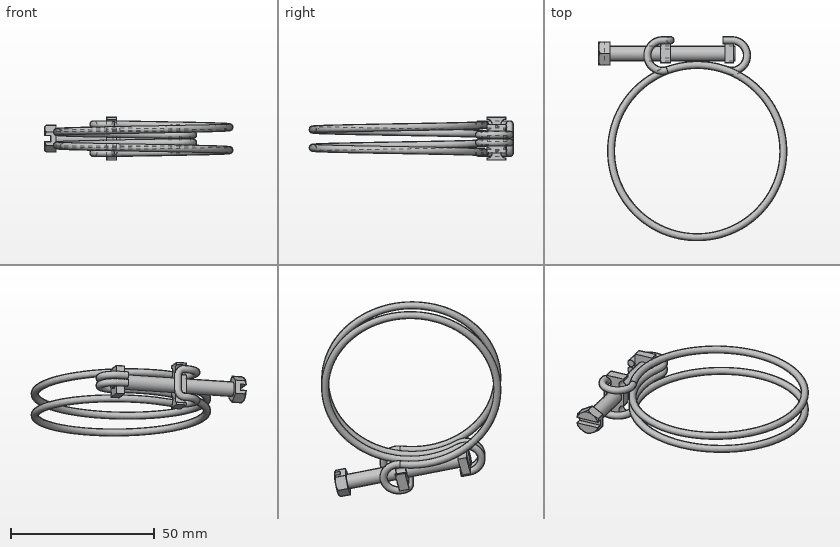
import cadquery as cq
import math


wire_radius = 1.24
ring_radius = 30.0
outer_level = 5.0
inner_level = 1.35
ring_points = 36

clamp_length = 71.05
hook_radius = 5.3
hook_x = 12.0
hook_y = clamp_length - ring_radius - hook_radius - 2 * wire_radius
hook_top = hook_y + hook_radius
end_straight = 3.05

bridge_x = -9.3
bridge_bend_radius = 2.5

block_depth = 6.6
wire_clearance = 0.06
left_block_x = -12.7
left_block_length = 3.5
left_block_height = 15.0
groove_radius = 1.8
right_block_x = 9.65
right_block_length = 3.0
right_block_height = 9.95

screw_y = hook_top - wire_radius - wire_clearance - block_depth / 2
shank_radius = 2.55
shank_end_x = 13.2
head_start_x = -34.3
head_thickness = 4.0
head_flats = 8.1
head_chamfer = 0.6
slot_width = 2.1
slot_depth = 2.05

hook_distance = math.hypot(hook_x, hook_y)
hook_bearing = math.atan2(hook_x, hook_y)
tangent_turn = math.acos((ring_radius + hook_radius) / hook_distance)
joint_angle = hook_bearing - tangent_turn


def hook_point(side, angle, level):
    """Point on a hook; side is -1 left or +1 right, angle runs outward from the top."""
    return cq.Vector(
        side * (hook_x + hook_radius * math.sin(angle)),
        hook_y + hook_radius * math.cos(angle),
        level,
    )


def hook_arc(side, level):
    """Hook centre line from its top to its joint with the straight stretch."""
    end_angle = math.pi + joint_angle
    return cq.Edge.makeThreePointArc(
        hook_point(side, 0, level),
        hook_point(side, end_angle / 2, level),
        hook_point(side, end_angle, level),
    )


def reverse_arc(arc):
    return cq.Edge.makeThreePointArc(arc.endPoint(), arc.positionAt(0.5), arc.startPoint())


def ring_curve():
    """Clockwise turn that overlaps itself at the top while its level falls evenly."""
    sweep_angle = 2 * math.pi + 2 * joint_angle
    points = []
    for i in range(ring_points + 1):
        share = i / ring_points
        angle = share * sweep_angle - joint_angle
        points.append(
            cq.Vector(
                ring_radius * math.sin(angle),
                ring_radius * math.cos(angle),
                outer_level + share * (inner_level - outer_level),
            )
        )
    start_tangent = cq.Vector(math.cos(joint_angle), math.sin(joint_angle), 0)
    end_tangent = cq.Vector(math.cos(joint_angle), -math.sin(joint_angle), 0)
    return cq.Edge.makeSpline(points, tangents=[start_tangent, end_tangent], scale=False)


def sweep_wire(edges):
    """Round wire along a chain of tangent edges, given in order."""
    path = cq.Wire.assembleEdges(edges)
    start = edges[0].startPoint()
    profile = cq.Workplane(cq.Plane(start, normal=edges[0].tangentAt(0))).circle(wire_radius)
    return profile.sweep(cq.Workplane(path))


def make_ring_wire():
    """Upper ring wire, from its joint with the left hook to the free end of its right hook."""
    ring = ring_curve()
    left_joint = hook_arc(-1, outer_level).endPoint()
    right_hook = reverse_arc(hook_arc(1, inner_level))
    free_end = right_hook.endPoint() - cq.Vector(end_straight, 0, 0)
    return sweep_wire(
        [
            cq.Edge.makeLine(left_joint, ring.startPoint()),
            ring,
            cq.Edge.makeLine(ring.endPoint(), right_hook.startPoint()),
            right_hook,
            cq.Edge.makeLine(right_hook.endPoint(), free_end),
        ]
    )


def make_bridge_hook():
    """Two left hooks and the bridge that joins their tops behind the left block."""
    upper_hook = reverse_arc(hook_arc(-1, outer_level))
    lower_hook = hook_arc(-1, -outer_level)
    bend_x = bridge_x - bridge_bend_radius
    bend_z = outer_level - bridge_bend_radius
    bend_reach = bridge_bend_radius * math.sin(math.pi / 4)

    def bridge_point(x, z):
        return cq.Vector(x, hook_top, z)

    upper_bend = cq.Edge.makeThreePointArc(
        bridge_point(bend_x, outer_level),
        bridge_point(bend_x + bend_reach, bend_z + bend_reach),
        bridge_point(bridge_x, bend_z),
    )
    lower_bend = cq.Edge.makeThreePointArc(
        bridge_point(bridge_x, -bend_z),
        bridge_point(bend_x + bend_reach, -bend_z - bend_reach),
        bridge_point(bend_x, -outer_level),
    )
    return sweep_wire(
        [
            upper_hook,
            cq.Edge.makeLine(upper_hook.endPoint(), upper_bend.startPoint()),
            upper_bend,
            cq.Edge.makeLine(upper_bend.endPoint(), lower_bend.startPoint()),
            lower_bend,
            cq.Edge.makeLine(lower_bend.endPoint(), lower_hook.startPoint()),
            lower_hook,
        ]
    )


def screw_plane(x):
    """Plane across the screw axis, facing +X, with local X along Y and local Y along Z."""
    return cq.Workplane(cq.Plane((x, screw_y, 0), xDir=(0, 1, 0), normal=(1, 0, 0)))


def make_screw():
    corner_diameter = head_flats / math.cos(math.pi / 6)
    head = screw_plane(head_start_x).transformed(rotate=(0, 0, 90)).polygon(6, corner_diameter)
    head = head.extrude(head_thickness)
    rounding = screw_plane(head_start_x).circle(corner_diameter / 2).extrude(head_thickness)
    head = head.intersect(rounding.faces("<X").chamfer(head_chamfer))
    slot = screw_plane(head_start_x).rect(2 * head_flats, slot_width).extrude(slot_depth)
    shank_length = shank_end_x - head_start_x - head_thickness
    shank = screw_plane(head_start_x + head_thickness).circle(shank_radius).extrude(shank_length)
    return head.cut(slot).union(shank)


def make_block(x, length, height):
    """Block with a hole that fits the screw shank."""
    block = screw_plane(x).rect(block_depth, height).extrude(length)
    hole = screw_plane(x).circle(shank_radius).extrude(length)
    return block.cut(hole)


def make_left_block():
    """Block with a round groove at each hook level on both the -Y and +Y sides."""
    half_depth = block_depth / 2
    groove_centres = [(y, z) for y in (-half_depth, half_depth) for z in (-outer_level, outer_level)]
    grooves = screw_plane(left_block_x).pushPoints(groove_centres).circle(groove_radius)
    block = make_block(left_block_x, left_block_length, left_block_height)
    return block.cut(grooves.extrude(left_block_length))


screw = make_screw()
left_block = make_left_block()
right_block = make_block(right_block_x, right_block_length, right_block_height)
bridge_hook = make_bridge_hook()
upper_ring_wire = make_ring_wire()
ring_wires = [upper_ring_wire, upper_ring_wire.mirror("XY")]

result = cq.Compound.makeCompound(
    [
        screw.val(),
        left_block.val(),
        right_block.val(),
        bridge_hook.val(),
        *[ring_wire.val() for ring_wire in ring_wires],
    ]
)